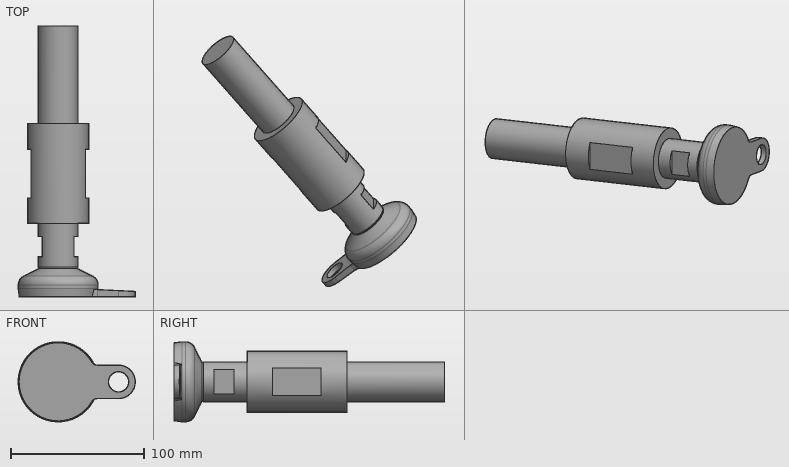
import cadquery as cq
import math

total_length = 203.0

rod_radius = 15.0
rod_flat_start = 30.0
rod_flat_length = 15.0
rod_across_flats = 24.0

foot_radius = 30.0
foot_face_radius = 29.2
rim_taper_height = 6.0
rim_height = 8.7
shoulder_radius = 7.5
shoulder_angle = 63.0
neck_radius = 14.6
neck_start = 21.1
neck_end = 22.1

hole_offset = 45.3
hole_radius = 7.5
tab_end_radius = 12.5
tab_root_fillet = 5.5
tab_root_x = 25.0
tab_root_thickness = 5.7
tab_tip_thickness = 4.0

sleeve_radius = 23.0
sleeve_start = 55.0
sleeve_length = 75.0
sleeve_flat_start = 74.0
sleeve_flat_length = 36.3
sleeve_across_flats = 41.0


def cylinder(radius, start, length):
    """Cylinder about the Y axis, from Y = start."""
    return cq.Workplane("XZ", origin=(0, start, 0)).circle(radius).extrude(-length)


def cut_side_flats(body, body_radius, across_flats, start, length):
    """Cut two opposite flats, facing -X and +X, into a round body."""
    depth = body_radius
    for side in (-1, 1):
        cutter = cq.Workplane("XY").box(depth, length, 2 * body_radius).translate(
            (side * (across_flats + depth) / 2, start + length / 2, 0)
        )
        body = body.cut(cutter)
    return body


def make_foot():
    sweep = math.radians(shoulder_angle)
    half_sweep = sweep / 2

    shoulder_center_r = foot_radius - shoulder_radius
    shoulder_mid = (
        shoulder_center_r + shoulder_radius * math.cos(half_sweep),
        rim_height + shoulder_radius * math.sin(half_sweep),
    )
    shoulder_end = (
        shoulder_center_r + shoulder_radius * math.cos(sweep),
        rim_height + shoulder_radius * math.sin(sweep),
    )

    return (
        cq.Workplane("XY")
        .lineTo(foot_face_radius, 0)
        .lineTo(foot_radius, rim_taper_height)
        .lineTo(foot_radius, rim_height)
        .threePointArc(shoulder_mid, shoulder_end)
        .lineTo(neck_radius, neck_start)
        .lineTo(neck_radius, neck_end)
        .lineTo(0, neck_end)
        .close()
        .revolve(360, (0, 0, 0), (0, 1, 0))
    )


def make_tab():
    """Rounded tab that blends into the rim and thins toward its tip."""
    fillet_z = tab_end_radius + tab_root_fillet
    center_distance = foot_face_radius + tab_root_fillet
    fillet_x = math.sqrt(center_distance**2 - fillet_z**2)
    root_x = fillet_x * foot_face_radius / center_distance
    root_z = fillet_z * foot_face_radius / center_distance
    mid_angle = (math.atan2(fillet_z, fillet_x) + math.pi / 2) / 2
    mid_x = fillet_x - tab_root_fillet * math.cos(mid_angle)
    mid_z = fillet_z - tab_root_fillet * math.sin(mid_angle)
    tip_x = hole_offset + tab_end_radius

    outline = (
        cq.Workplane("XZ")
        .lineTo(root_x, root_z)
        .threePointArc((mid_x, mid_z), (fillet_x, tab_end_radius))
        .lineTo(hole_offset, tab_end_radius)
        .threePointArc((tip_x, 0), (hole_offset, -tab_end_radius))
        .lineTo(fillet_x, -tab_end_radius)
        .threePointArc((mid_x, -mid_z), (root_x, -root_z))
        .close()
        .extrude(-rim_height)
    )
    taper_slope = (tab_root_thickness - tab_tip_thickness) / (tip_x - tab_root_x)
    axis_thickness = tab_root_thickness + taper_slope * tab_root_x
    wedge = (
        cq.Workplane("XY")
        .polyline([(0, 0), (tip_x, 0), (tip_x, tab_tip_thickness), (0, axis_thickness)])
        .close()
        .extrude(fillet_z, both=True)
    )
    hole = cylinder(hole_radius, 0, rim_height).translate((hole_offset, 0, 0))
    return outline.intersect(wedge).cut(hole)


def make_plunger():
    rod = cylinder(rod_radius, neck_end, total_length - neck_end)
    rod = cut_side_flats(rod, rod_radius, rod_across_flats, rod_flat_start, rod_flat_length)
    return rod.union(make_foot()).union(make_tab())


def make_sleeve():
    sleeve = cylinder(sleeve_radius, sleeve_start, sleeve_length)
    sleeve = cut_side_flats(
        sleeve, sleeve_radius, sleeve_across_flats, sleeve_flat_start, sleeve_flat_length
    )
    return sleeve.cut(cylinder(rod_radius, sleeve_start, sleeve_length))


plunger = make_plunger()
sleeve = make_sleeve()
result = cq.Compound.makeCompound([plunger.val(), sleeve.val()])